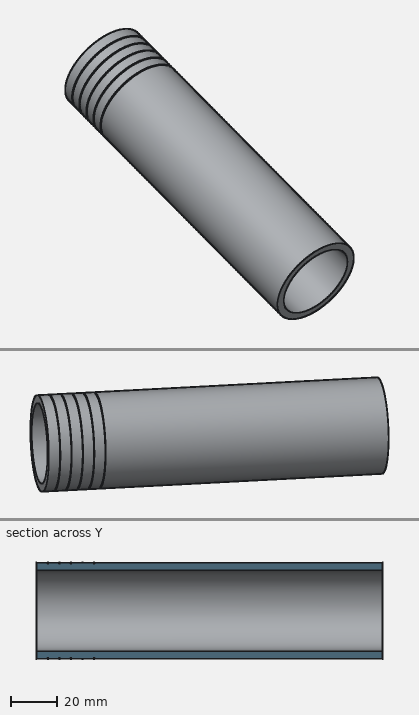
import cadquery as cq

length = 150.0
outer_diameter = 42.0
bore_diameter = 35.0
groove_count = 5
groove_spacing = 15 / 3
groove_width = 0.2
groove_depth = 0.5

outer_radius = outer_diameter / 2
groove_floor_radius = outer_radius - groove_depth
end_x = -length / 2


def make_ring(start_x, ring_length, ring_outer_radius, ring_inner_radius):
    """Ring about the X axis, running toward +X from start_x."""
    plane = cq.Workplane("YZ", origin=(start_x, 0, 0))
    return plane.circle(ring_outer_radius).circle(ring_inner_radius).extrude(ring_length)


result = make_ring(end_x, length, outer_radius, bore_diameter / 2)

for index in range(1, groove_count + 1):
    groove_start = end_x + index * groove_spacing - groove_width / 2
    groove = make_ring(groove_start, groove_width, outer_diameter, groove_floor_radius)
    result = result.cut(groove)